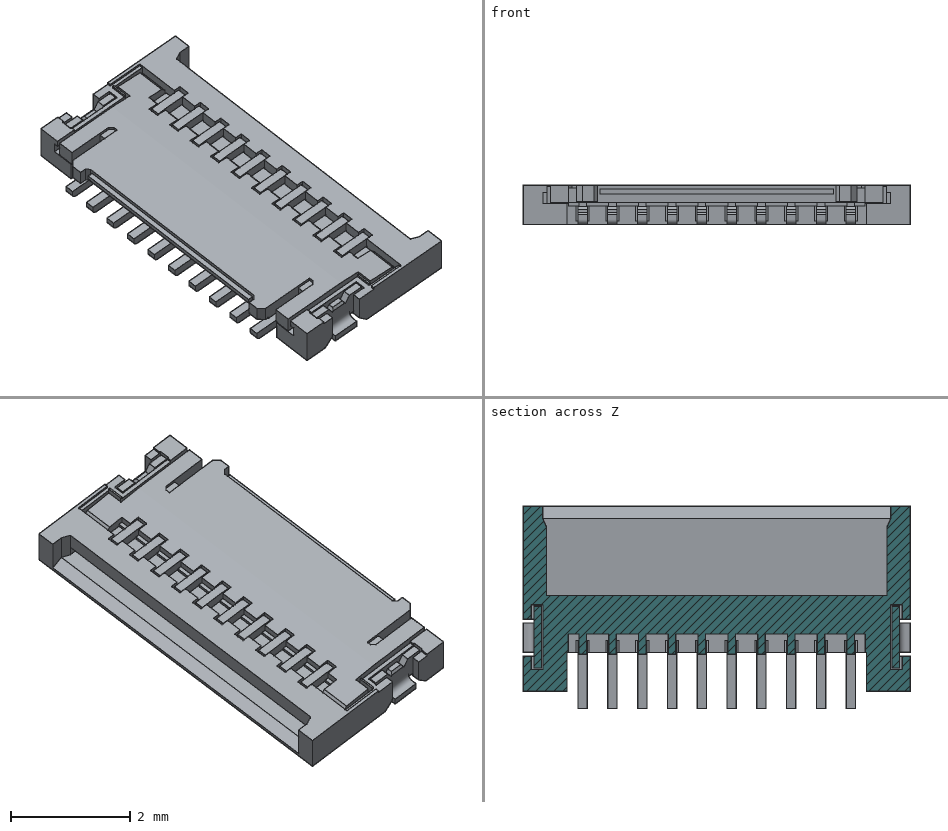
import cadquery as cq


width = 6.5
length = 3.4
height = 0.66
half_width = width / 2
entry_y = length / 2

housing_depth = 3.11
front_wall_depth = 2.46
front_bay_half = half_width - 0.74
shelf_z = 0.355
rear_cover_depth = 0.88
lowered_top_z = 0.62

mouth_half = half_width - 0.33
mouth_inner_half = half_width - 0.395
mouth_slope_depth = 0.205
mouth_depth = 0.35
slot_floor_z = 0.16
slot_roof_z = 0.355
slot_depth = 1.5
mouth_lip_z = 0.06

ear_seat_half = half_width - 0.12
ear_seat_depth = 1.535
rim_half = half_width - 0.06
rim_depth = 1.565
side_gap_half = half_width - 0.405

pivot_half = half_width - 0.335
pivot_top_z = 0.54
pivot_length = 0.3

ear_half = half_width - 0.17
ear_rear_depth = 0.90
ear_slope_depth = 0.98
ear_front_depth = 1.49
arm_half = half_width - 0.46
arm_inner_half = half_width - 0.76
flap_half = half_width - 0.90
flap_depth = 3.15
tab_depth = 3.32
tab_inner_half = half_width - 1.19
tab_chamfer = 0.10
tab_bottom_z = 0.39
tab_root_chamfer = 0.06
arm_slit_depth = 2.20
arm_slit_chamfer = 0.06
arm_slit_floor_z = 0.61
lever_flat_depth = 1.90
lever_rear_z = 0.60
ear_edge_z = 0.52
lip_half = half_width - 1.29
lip_depth = 3.24
lip_bottom_z = 0.515
lip_top_z = 0.595

window_half = half_width - 0.70
window_floor_z = 0.45
window_step_depth = 1.20
window_step_z = 0.50
window_depth = 1.27

gap_bottom_z = 0.315
gap_top_z = 0.37
gap_rear_depth = 2.15

contact_count = 10
contact_pitch = 0.5
contact_width = 0.16
lead_height = 0.165
lead_tip_radius = 0.08
contact_slot_width = 0.20
contact_slot_rear = 0.75
contact_slot_front = 1.46
beam_rear = 0.80
beam_bend = 1.225
beam_front = 1.42
beam_top_z = 0.63
beam_tip_z = 0.62
pocket_width = 0.22
pocket_bottom_z = 0.06
pocket_rear_depth = 2.26
post_rear_depth = 2.20
post_face_depth = 2.33
post_slope_depth = 2.36
post_step_z = 0.20
post_shoulder_z = 0.255
post_top_z = 0.30
post_chamfer = 0.03
upper_beam_width = 0.13
upper_beam_front = 2.49
upper_beam_bottom_z = 0.30

anchor_outer = half_width - 0.18
anchor_inner = half_width - 0.31
anchor_rear = 1.68
anchor_front = 2.72
anchor_slot_outer = half_width - 0.14
anchor_slot_inner = half_width - 0.33
anchor_slot_clearance = 0.02
anchor_bottom_z = 0.16
notch_rear = 1.96
notch_front = 2.44
notch_slope = 0.09
notch_flank = 0.04
notch_bottom_z = 0.49
notch_tongue_z = 0.55
tongue_chamfer = 0.04
foot_rear = 1.96
foot_front = 2.455
foot_height = 0.125
foot_flat_length = 0.08
foot_bend_radius = 0.10
opening_rear = 1.90
opening_front = 2.52
flare_spread = 0.17
flare_inner_half = half_width - 0.28


def y_at(depth):
    """Y coordinate of a depth behind the cable-entry face."""
    return entry_y - depth


def block(x_min, x_max, rear, front, bottom, top):
    """Box between two X positions, two depths and two heights."""
    return cq.Workplane("XY").box(
        x_max - x_min, front - rear, top - bottom, centered=False
    ).translate((x_min, y_at(front), bottom))


def centred_block(half, rear, front, bottom, top):
    """Box that is symmetric about the middle of the part."""
    return block(-half, half, rear, front, bottom, top)


def side_profile(points, x_min, x_max):
    """Prism along X from (depth, z) points."""
    outline = [(y_at(depth), z) for depth, z in points]
    prism = cq.Workplane("YZ").polyline(outline).close().extrude(x_max - x_min)
    return prism.translate((x_min, 0, 0))


def plan_prism(points, bottom, top):
    """Prism along Z from (x, depth) points."""
    outline = [(x, y_at(depth)) for x, depth in points]
    return cq.Workplane("XY").workplane(offset=bottom).polyline(outline).close().extrude(top - bottom)


def both_sides(left):
    """A left-hand shape together with its mirror image."""
    return left.union(left.mirror("YZ"))


def cable_mouth():
    """Entry notch with a sloped lead-in, and the cable slot behind it."""
    notch = plan_prism(
        [
            (-mouth_half, 0),
            (mouth_half, 0),
            (mouth_half, mouth_slope_depth),
            (mouth_inner_half, mouth_depth),
            (-mouth_inner_half, mouth_depth),
            (-mouth_half, mouth_slope_depth),
        ],
        slot_floor_z,
        height,
    )
    lead_in = side_profile(
        [(0, mouth_lip_z), (0, slot_floor_z), (mouth_slope_depth, slot_floor_z)], -mouth_half, mouth_half
    )
    slot = centred_block(mouth_inner_half, 0, slot_depth, slot_floor_z, slot_roof_z)
    return notch.union(lead_in).union(slot)


def lever_seat():
    """Space in the housing that receives the lever."""
    ears = centred_block(ear_seat_half, rear_cover_depth, ear_seat_depth, shelf_z, height)
    middle = centred_block(side_gap_half, rear_cover_depth, housing_depth, shelf_z, height)
    return ears.union(middle)


def housing_side_cuts():
    """Lowered rims, pivot channels and anchor openings of the two side walls."""
    rim = block(-rim_half, -ear_seat_half, rear_cover_depth, rim_depth, lowered_top_z, height)
    wall_top = block(-half_width, -side_gap_half, rim_depth, anchor_front, lowered_top_z, height)
    pivot = block(-pivot_half, -arm_half, housing_depth - pivot_length, housing_depth, shelf_z, pivot_top_z)
    anchor_slot = block(
        -anchor_slot_outer,
        -anchor_slot_inner,
        anchor_rear - anchor_slot_clearance,
        anchor_front + anchor_slot_clearance,
        anchor_bottom_z,
        height,
    )
    opening = block(-half_width, -anchor_outer, opening_rear, opening_front, 0, height)
    flare = side_profile(
        [
            (opening_rear - flare_spread, 0),
            (opening_rear, anchor_bottom_z),
            (opening_front, anchor_bottom_z),
            (opening_front + flare_spread, 0),
        ],
        -half_width,
        -flare_inner_half,
    )
    undercut = (
        cq.Workplane("XZ")
        .polyline(
            [
                (-half_width, 0),
                (-half_width, anchor_bottom_z),
                (-anchor_outer, anchor_bottom_z),
                (-flare_inner_half, 0),
            ]
        )
        .close()
        .extrude(length, both=True)
    )
    cuts = rim.union(wall_top).union(pivot).union(anchor_slot).union(opening)
    return both_sides(cuts.union(flare.intersect(undercut)))


def make_housing():
    """Housing with its front bay open under the lever."""
    body = centred_block(half_width, 0, housing_depth, 0, height)
    front_bay = centred_block(front_bay_half, front_wall_depth, housing_depth, 0, height)
    return body.cut(front_bay).cut(cable_mouth()).cut(lever_seat()).cut(housing_side_cuts())


def lever_half_outline():
    """(x, depth) points of the lever's right half, from the rear to the front."""
    return [
        (ear_half, ear_rear_depth),
        (ear_half, ear_front_depth),
        (arm_half, ear_front_depth),
        (arm_half, housing_depth),
        (arm_inner_half, housing_depth),
        (arm_inner_half, arm_slit_depth + arm_slit_chamfer),
        (arm_inner_half - arm_slit_chamfer, arm_slit_depth),
        (flap_half, arm_slit_depth),
        (flap_half, tab_depth - tab_chamfer),
        (flap_half - tab_chamfer, tab_depth),
        (tab_inner_half, tab_depth),
        (tab_inner_half, flap_depth + tab_root_chamfer),
        (tab_inner_half - tab_root_chamfer, flap_depth),
    ]


def make_lever():
    """Locking lever: ears, arms and a wide flap with two corner tabs and a pull lip."""
    right = lever_half_outline()
    left = [(-x, depth) for x, depth in reversed(right)]
    plate = plan_prism(right + left, shelf_z, height)
    slope_rate = (height - lever_rear_z) / (lever_flat_depth - ear_rear_depth)
    ear_crest_z = lever_rear_z + slope_rate * (ear_slope_depth - ear_rear_depth)
    top_relief = side_profile(
        [
            (ear_rear_depth, height),
            (ear_rear_depth, ear_edge_z),
            (ear_slope_depth, ear_crest_z),
            (lever_flat_depth, height),
        ],
        -half_width,
        half_width,
    )
    lip = centred_block(lip_half, flap_depth, lip_depth, lip_bottom_z, lip_top_z)
    window = centred_block(window_half, rear_cover_depth, window_depth, shelf_z, height)
    window_floor = centred_block(window_half, rear_cover_depth, window_depth, shelf_z, window_floor_z)
    window_step = centred_block(window_half, window_step_depth, window_depth, shelf_z, window_step_z)
    lever = plate.cut(top_relief).cut(window).union(window_floor).union(window_step).union(lip)
    slit_floor = block(
        -arm_inner_half, -flap_half, arm_slit_depth, front_wall_depth, shelf_z, arm_slit_floor_z
    )
    return lever.union(both_sides(slit_floor))


def lever_gap():
    """Thin gap between the lever and the front wall, also clearing the arms, the flap and the tabs."""
    middle = centred_block(arm_inner_half, gap_rear_depth, length, gap_bottom_z, gap_top_z)
    under_arms = centred_block(arm_half, gap_rear_depth, housing_depth, shelf_z, gap_top_z)
    under_tabs = centred_block(flap_half, flap_depth, length, shelf_z, tab_bottom_z)
    return middle.union(under_arms).union(under_tabs)


def contact_clearance(x):
    """Top slot and front pocket around the contact centred at x."""
    half_slot = contact_slot_width / 2
    half_pocket = pocket_width / 2
    top_slot = block(
        x - half_slot, x + half_slot, contact_slot_rear, contact_slot_front, window_floor_z, height
    )
    pocket = block(
        x - half_pocket, x + half_pocket, pocket_rear_depth, front_wall_depth, pocket_bottom_z, gap_bottom_z
    )
    return top_slot.union(pocket)


def make_contact(x):
    """Contact centred at x: spring beam, solder lead with its stepped post, and upper beam end."""
    x_min = x - contact_width / 2
    x_max = x + contact_width / 2
    beam = side_profile(
        [
            (beam_rear, window_floor_z),
            (beam_rear, beam_top_z),
            (beam_bend, beam_top_z),
            (beam_front, beam_tip_z),
            (beam_front, window_floor_z),
        ],
        x_min,
        x_max,
    )
    lead = block(x_min, x_max, post_rear_depth, length, 0, lead_height)
    lead = lead.edges("|X and <Y and <Z").fillet(lead_tip_radius)
    post = side_profile(
        [
            (post_rear_depth, 0),
            (post_slope_depth, 0),
            (post_slope_depth, lead_height),
            (post_face_depth, post_step_z),
            (post_face_depth, post_shoulder_z),
            (post_face_depth - post_chamfer, post_top_z),
            (post_rear_depth, post_top_z),
        ],
        x_min,
        x_max,
    )
    half_upper = upper_beam_width / 2
    upper_beam = block(
        x - half_upper, x + half_upper, gap_rear_depth, upper_beam_front, upper_beam_bottom_z, gap_top_z
    )
    return beam.union(lead).union(post).union(upper_beam)


def make_anchor():
    """Left side anchor: upright plate with a notched top edge and an outward solder foot."""
    plate = side_profile(
        [
            (anchor_rear, anchor_bottom_z),
            (anchor_rear, lowered_top_z),
            (notch_rear, lowered_top_z),
            (notch_rear + notch_slope, notch_bottom_z),
            (notch_rear + notch_slope + notch_flank, notch_tongue_z),
            (notch_front - notch_slope - notch_flank, notch_tongue_z),
            (notch_front - notch_slope, notch_bottom_z),
            (notch_front, lowered_top_z),
            (anchor_front, lowered_top_z),
            (anchor_front, anchor_bottom_z),
        ],
        -anchor_outer,
        -anchor_inner,
    )
    tongue_edge = cq.selectors.NearestToPointSelector(
        (-anchor_outer, y_at((notch_rear + notch_front) / 2), notch_tongue_z)
    )
    plate = plate.edges(tongue_edge).chamfer(tongue_chamfer)
    bend_start_x = -half_width + foot_flat_length
    bend_end_x = bend_start_x + foot_bend_radius
    bend_top_z = foot_height + foot_bend_radius
    foot = (
        cq.Workplane("XZ", origin=(0, y_at(foot_rear), 0))
        .moveTo(-half_width, 0)
        .lineTo(-half_width, foot_height)
        .lineTo(bend_start_x, foot_height)
        .radiusArc((bend_end_x, bend_top_z), -foot_bend_radius)
        .lineTo(-anchor_inner, bend_top_z)
        .lineTo(-anchor_inner, 0)
        .close()
        .extrude(foot_front - foot_rear)
    )
    return plate.union(foot)


first_contact_x = -contact_pitch * (contact_count - 1) / 2
contact_positions = [first_contact_x + i * contact_pitch for i in range(contact_count)]

connector = make_housing().union(make_lever()).cut(lever_gap())
for contact_x in contact_positions:
    connector = connector.cut(contact_clearance(contact_x))
    connector = connector.union(make_contact(contact_x))

result = connector.union(both_sides(make_anchor()))